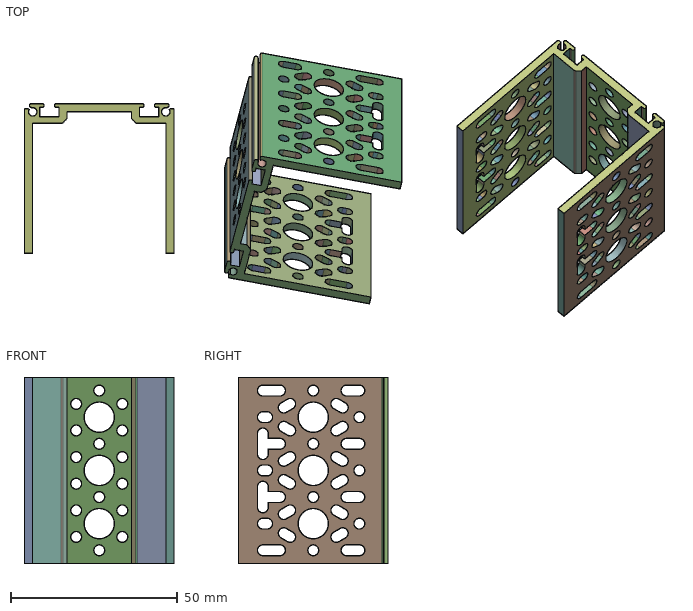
import cadquery as cq
import math

length = 56.0
width = 45.0
depth = 45.0

wall = 2.5
floor_drop = 4.0
shoulder_drop = 6.0
slot_center = 7.5
slot_opening = 3.1
slot_width = 5.7
lip_thickness = 1.2
corner_inset = 1.5
corner_round = 0.45
web_edge = 12.8
bevel = 1.45
bevel_round = 0.85

bore_center = wall
bore_diameter = 2.45
wall_tip = 1.1

half_pitch = length / 7
small_hole = 3.2
large_hole = 9.0
hex_angle = math.radians(30)
hex_offset = half_pitch * math.cos(hex_angle)
outer_column = 2 * hex_offset
slant_travel = 2.25
long_travel = 3.85
edge_extension = 1.3
cross_travel = 6.2

large_rows = [k * half_pitch for k in (-2, 0, 2)]
small_rows = [k * half_pitch for k in (-3, -1, 1, 3)]

half_width = width / 2
back = depth / 2


def section_point(x, drop):
    """Point at a distance from the outer side and a drop below the back face."""
    return (x - half_width, back - drop)


def half_section():
    """Left half of the channel section, without the corner bore, extruded along Z."""
    slot_left = slot_center - slot_width / 2
    slot_right = slot_center + slot_width / 2
    opening_left = slot_center - slot_opening / 2
    opening_right = slot_center + slot_opening / 2
    lip_radius = lip_thickness / 2
    bevel_start = web_edge - bevel

    outer_wall_and_slit = [
        (0, depth),
        (0, corner_inset),
        (wall_tip, corner_inset),
        (bore_center, corner_inset + bore_center - wall_tip),
        (corner_inset + lip_radius, lip_thickness),
    ]
    slot_inside = [
        (slot_left, lip_thickness),
        (slot_left, floor_drop),
        (slot_right, floor_drop),
        (slot_right, lip_thickness),
        (opening_right + lip_radius, lip_thickness),
    ]
    web_and_inner_wall = [
        (half_width, 0),
        (half_width, wall),
        (web_edge, wall),
        (web_edge, shoulder_drop - bevel),
        (bevel_start, shoulder_drop),
        (wall, shoulder_drop),
        (wall, depth),
    ]

    def lip_end(path, tip, neck, end_drop):
        """Full round at the end of a lip."""
        return path.threePointArc(section_point(tip, lip_radius), section_point(neck, end_drop))

    def lines(path, corners):
        for corner in corners:
            path = path.lineTo(*section_point(*corner))
        return path

    base = cq.Workplane("XY", origin=(0, 0, -length / 2))
    path = base.moveTo(*section_point(*outer_wall_and_slit[0]))
    path = lines(path, outer_wall_and_slit[1:])
    path = lip_end(path, corner_inset, corner_inset + lip_radius, 0)
    path = lines(path, [(opening_left - lip_radius, 0)])
    path = lip_end(path, opening_left, opening_left - lip_radius, lip_thickness)
    path = lines(path, slot_inside)
    path = lip_end(path, opening_right, opening_right + lip_radius, 0)
    path = lines(path, web_and_inner_wall)
    body = path.close().extrude(length)

    rounded_corners = [
        ((0, corner_inset), corner_round),
        ((bevel_start, shoulder_drop), bevel_round),
    ]
    for corner, radius in rounded_corners:
        selector = cq.selectors.NearestToPointSelector((*section_point(*corner), 0))
        body = body.edges("|Z").edges(selector).fillet(radius)
    return body


def corner_bore():
    """Full-length bore that the slit opens into."""
    center = section_point(bore_center, bore_center)
    return cq.Workplane("XY", origin=(*center, -length / 2)).circle(bore_diameter / 2).extrude(length)


def side_slot(start, end):
    """Round-ended slot through both side walls between two (Y, Z) end centres."""
    dy = end[0] - start[0]
    dz = end[1] - start[1]
    travel = math.hypot(dy, dz)
    angle = math.degrees(math.atan2(dz, dy))
    middle = (start[0] + dy / 2, start[1] + dz / 2)
    plane = cq.Workplane("YZ").center(*middle)
    return plane.slot2D(travel + small_hole, small_hole, angle).extrude(width, both=True)


def holes(plane, points, diameter):
    """Round holes through the whole part at the given points of a plane."""
    return cq.Workplane(plane).pushPoints(points).circle(diameter / 2).extrude(width, both=True)


def cut_side_pattern(body):
    """Holes and slots through both side walls; the open edge of the channel is at -Y."""
    open_column = -outer_column - edge_extension
    inner_column = outer_column - long_travel
    body = body.cut(holes("YZ", [(0, z) for z in large_rows], large_hole))
    body = body.cut(holes("YZ", [(0, z) for z in small_rows], small_hole))
    body = body.cut(holes("YZ", [(outer_column, z) for z in large_rows], small_hole))
    for z in small_rows:
        body = body.cut(side_slot((outer_column, z), (inner_column, z)))
        body = body.cut(side_slot((-inner_column, z), (open_column, z)))
    for z in small_rows[1:-1]:
        lower = (open_column, z - cross_travel / 2)
        upper = (open_column, z + cross_travel / 2)
        body = body.cut(side_slot(lower, upper))
    slant_y = slant_travel * math.cos(hex_angle)
    slant_z = slant_travel * math.sin(hex_angle)
    for z in large_rows:
        body = body.cut(side_slot((-outer_column, z), (open_column, z)))
        for side in (-1, 1):
            for up in (-1, 1):
                inner = (side * hex_offset, z + up * half_pitch / 2)
                outer = (inner[0] + side * slant_y, inner[1] - up * slant_z)
                body = body.cut(side_slot(inner, outer))
    return body


def cut_web_pattern(body):
    """Large holes along the back web, each ringed by a hexagon of small holes."""
    hex_points = [
        (side * hex_offset, z + up * half_pitch / 2)
        for z in large_rows
        for side in (-1, 1)
        for up in (-1, 1)
    ]
    body = body.cut(holes("XZ", [(0, z) for z in large_rows], large_hole))
    return body.cut(holes("XZ", [(0, z) for z in small_rows] + hex_points, small_hole))


half = half_section().cut(corner_bore())
channel = half.union(half.mirror("YZ"))
result = cut_web_pattern(cut_side_pattern(channel))